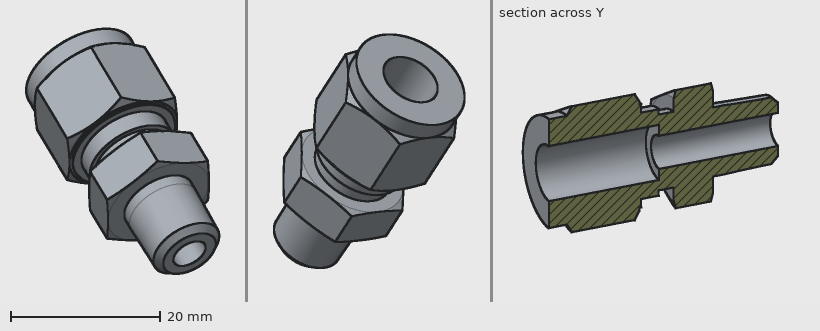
import cadquery as cq
import math

total_length = 34.2
collar_end = 2.7
nut_end = 13.55
washer_end = 13.8
shoulder_end = 16.4
body_hex_start = 18.6
body_hex_end = 24.52
taper_start = 26.13

washer_diameter = 15.2
shoulder_diameter = 12.72
neck_diameter = 11.2
thread_diameter = 10.2
thread_tip_diameter = 9.8
tip_chamfer = 1.0

nut_across_flats = 16.0
body_across_flats = 15.0
nut_chamfer_angle = 30.0
body_chamfer_angle = 15.0

bore_diameter = 4.8
socket_diameter = nut_across_flats / 2
socket_depth = shoulder_end


def cylinder(start, end, diameter):
    """Solid cylinder on the X axis between two stations."""
    return cq.Workplane("YZ", origin=(start, 0, 0)).circle(diameter / 2).extrude(end - start)


def revolve_about_x(profile):
    """Revolve a closed outline of (x, radius) points about the X axis."""
    return cq.Workplane("XY").polyline(profile).close().revolve(360, (0, 0, 0), (1, 0, 0))


def chamfered_hexagon(start, end, across_flats, chamfer_angle):
    """Hexagon with corners at +Z and -Z, its corners cut conically at both ends."""
    flat_radius = across_flats / 2
    corner_radius = flat_radius / math.cos(math.radians(30))
    chamfer_length = (corner_radius - flat_radius) * math.tan(math.radians(chamfer_angle))
    prism = (
        cq.Workplane("YZ", origin=(start, 0, 0))
        .transformed(rotate=(0, 0, 90))
        .polygon(6, 2 * corner_radius)
        .extrude(end - start)
    )
    envelope = revolve_about_x([
        (start, 0),
        (start, flat_radius),
        (start + chamfer_length, corner_radius),
        (end - chamfer_length, corner_radius),
        (end, flat_radius),
        (end, 0),
    ])
    return prism.intersect(envelope)


def threaded_end():
    """Straight run, slight taper and chamfered tip of the pipe-thread end."""
    tip_radius = thread_tip_diameter / 2
    return revolve_about_x([
        (body_hex_end, 0),
        (body_hex_end, thread_diameter / 2),
        (taper_start, thread_diameter / 2),
        (total_length - tip_chamfer, tip_radius),
        (total_length, tip_radius - tip_chamfer),
        (total_length, 0),
    ])


fitting = cylinder(0, collar_end, nut_across_flats)
fitting = fitting.union(chamfered_hexagon(collar_end, nut_end, nut_across_flats, nut_chamfer_angle))
fitting = fitting.union(cylinder(nut_end, washer_end, washer_diameter))

fitting = fitting.union(cylinder(washer_end, shoulder_end, shoulder_diameter))
fitting = fitting.union(cylinder(shoulder_end, body_hex_start, neck_diameter))
fitting = fitting.union(
    chamfered_hexagon(body_hex_start, body_hex_end, body_across_flats, body_chamfer_angle)
)
fitting = fitting.union(threaded_end())

fitting = fitting.cut(cylinder(0, total_length, bore_diameter))
result = fitting.cut(cylinder(0, socket_depth, socket_diameter))